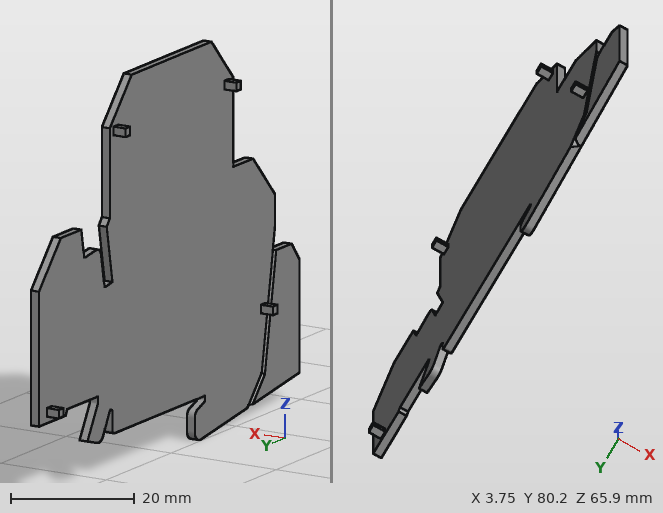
import cadquery as cq
import math

length = 80.2
plate_thickness = 1.5
pin_length = 2.25
pin_side = 1.45

height = 65.9
shoulder_z = 43.5
shoulder_drop = 7.45
bevel_run = 6.7
tower_start, tower_end = 21.8, 59.8
body_end = 72.7
flap_top_z = 26.55
rail_z = 7.05
ledge_z = 14.35
left_bottom_z = 13.4
slot_wall = 22.6

outline = [
    (0, left_bottom_z, 0),
    (0, shoulder_z - shoulder_drop, 0),
    (bevel_run, shoulder_z, 0),
    (13.1, shoulder_z, 0),
    (13.95, 38.5, 0.3),
    (18.9, 39.2, 1.4),
    (20.2, 32.2, 0.25),
    (22.6, 32.6, 0),
    (20.85, 42.2, 0),
    (tower_start, 43.4, 0),
    (tower_start, height - shoulder_drop, 0),
    (tower_start + bevel_run, height, 0),
    (tower_end - bevel_run, height, 0),
    (tower_end, height - shoulder_drop, 0),
    (tower_end, shoulder_z, 0),
    (body_end - bevel_run, shoulder_z, 0),
    (body_end, shoulder_z - shoulder_drop, 0),
    (body_end, flap_top_z, 0),
    (77.8, flap_top_z, 0),
    (length, 23.4, 0),
    (length, 4.4, 0),
    (47.95, -0.25, 1.7),
    (47.95, 5.0, 1.4),
    (51.2, 6.2, 0.5),
    (51.2, rail_z, 0),
    (slot_wall, rail_z, 0.65),
    (slot_wall, 12.7, 0.5),
    (19.2, 6.25, 1.6),
    (14.9, 7.5, 0),
    (18.1, 13.15, 0.5),
    (18.1, ledge_z, 0),
    (8.75, ledge_z, 0),
    (8.3, left_bottom_z, 0),
]

pin_centers = [(3.2, 15.2), (23.7, 57.75), (57.8, 57.75), (69.05, 17.7)]

groove_width = 1.05
groove_depth = 1.1
groove_knee = (69.05, 6.8)
upper_angle = 80.1
lower_angle = 228.5
upper_length = 27.3
lower_length = 8.0


def point(distance, z):
    return cq.Vector(0, -distance, z)


def corner_geometry(before, corner, after, radius):
    """Return the start, middle and end of the arc rounding a corner."""
    to_before = (before - corner).normalized()
    to_after = (after - corner).normalized()
    half_angle = to_before.getAngle(to_after) / 2
    tangent_length = radius / math.tan(half_angle)
    middle_distance = radius / math.sin(half_angle) - radius
    bisector = (to_before + to_after).normalized()
    return (
        corner + to_before * tangent_length,
        corner + bisector * middle_distance,
        corner + to_after * tangent_length,
    )


def make_plate():
    corners = [point(distance, z) for distance, z, _ in outline]
    profile = cq.Workplane("YZ").moveTo(corners[0].y, corners[0].z)
    for i in range(1, len(outline)):
        corner, radius = corners[i], outline[i][2]
        if radius == 0:
            profile = profile.lineTo(corner.y, corner.z)
            continue
        after = corners[(i + 1) % len(corners)]
        start, middle, end = corner_geometry(corners[i - 1], corner, after, radius)
        profile = profile.lineTo(start.y, start.z)
        profile = profile.threePointArc((middle.y, middle.z), (end.y, end.z))
    return profile.close().extrude(plate_thickness)


def make_pins():
    centers = [(-distance, z) for distance, z in pin_centers]
    return cq.Workplane("YZ").pushPoints(centers).rect(pin_side, pin_side).extrude(-pin_length)


def groove_end(angle, arm_length):
    angle = math.radians(angle)
    knee_distance, knee_z = groove_knee
    return point(knee_distance + arm_length * math.cos(angle), knee_z + arm_length * math.sin(angle))


def make_groove():
    """Sweep a triangular section along the bent centre line with a mitred knee."""
    top = groove_end(upper_angle, upper_length)
    knee = point(*groove_knee)
    bottom = groove_end(lower_angle, lower_length)
    path = cq.Workplane(cq.Wire.makePolygon([top, knee, bottom]))
    section_plane = cq.Plane(origin=top, xDir=(1, 0, 0), normal=knee - top)
    half_width = groove_width / 2
    section = cq.Workplane(section_plane).polyline(
        [(0, -half_width), (groove_depth, 0), (0, half_width)]
    ).close()
    return section.sweep(path, transition="right")


result = make_plate().cut(make_groove()).union(make_pins())